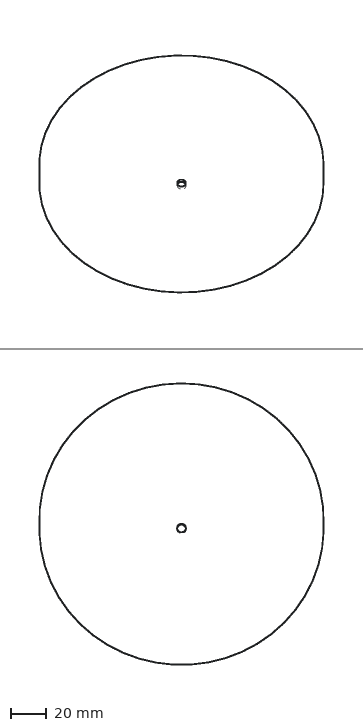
import cadquery as cq

outer_diameter = 160.0
height = 20.0
edge_round = 2.0

floor_thickness = 2.0
mouth_radius = 70.0
floor_radius = 40.0

hole_diameter = 5.0


def make_body():
    """Solid disc with both outer edges rounded."""
    disc = cq.Workplane("XY").circle(outer_diameter / 2).extrude(height)
    return disc.edges().fillet(edge_round)


def make_recess():
    """Cone-sided cutter that leaves a flat floor."""
    profile = (
        cq.Workplane("XZ")
        .moveTo(0, floor_thickness)
        .lineTo(floor_radius, floor_thickness)
        .lineTo(mouth_radius, height)
        .lineTo(0, height)
        .close()
    )
    cone = profile.revolve(360, (0, 0, 0), (0, 1, 0))
    return cone.faces("<Z").edges().fillet(edge_round)


def round_mouth(dish):
    """Soften the inner edge of the flat rim."""
    mouth_edge = cq.selectors.RadiusNthSelector(0)
    return dish.faces(">Z").edges(mouth_edge).fillet(edge_round)


dish = make_body().cut(make_recess())
dish = round_mouth(dish)

result = dish.faces("<Z").workplane().hole(hole_diameter)